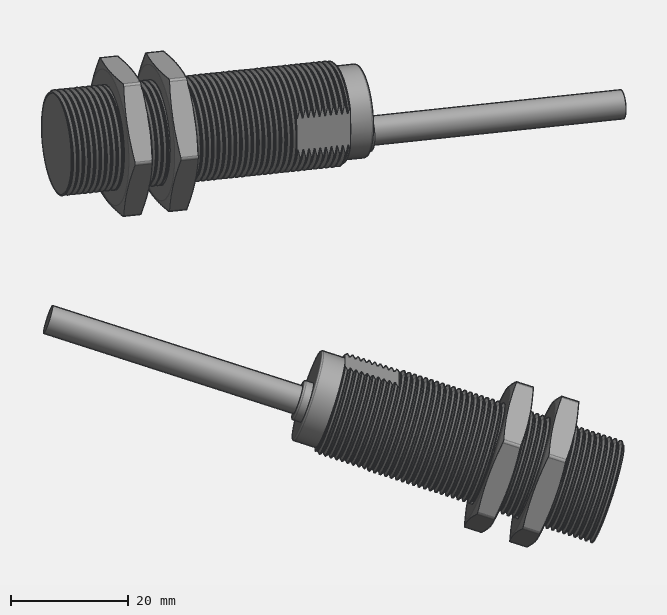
import cadquery as cq
import math

TOTAL_LENGTH = 100.5
BARREL_LENGTH = 49.9
CAP_END = 54.1
COLLAR_END = 55.7

THREAD_RADIUS = 9.0
ROOT_RADIUS = 8.4
BARREL_TURNS = 50
SPARE_TURNS = 2
PITCH = BARREL_LENGTH / BARREL_TURNS
CREST_WIDTH = 0.15
FLOOR_WIDTH = 0.15
THREAD_OFFSET = 0.1
TRIM_RADIUS = THREAD_RADIUS + 0.1
REAR_CHAMFER = 0.6

FLAT_START = 40.2
FLAT_DISTANCE = 7.9

CAP_RADIUS = 8.0
COLLAR_RADIUS = 3.5
EDGE_FILLET = 0.3
CABLE_RADIUS = 2.5
CABLE_Z = -3.8

NUT_WIDTH = 24.0
NUT_THICKNESS = 4.0
NUT_STARTS = (9.4, 17.6)
NUT_CORNER_FILLET = 0.6
NUT_FACE_RADIUS = 11.7
NUT_CHAMFER_DEPTH = 0.5


def rod(radius, start, end, z=0.0):
    """Cylinder parallel to Y between two Y positions."""
    return cq.Workplane("XZ", origin=(0, start, z)).circle(radius).extrude(start - end)


def helix_edge(radius, height):
    """One turn of right-hand helix around Z, starting on +X."""
    turn = cq.Wire.makeHelix(PITCH, PITCH, radius).Edges()[0]
    return turn.translate(cq.Vector(0, 0, height))


def tooth_profile(height):
    """Radius and height of the corners of one tooth, from one groove floor to the next."""
    flank_height = (PITCH - CREST_WIDTH - FLOOR_WIDTH) / 2
    return [
        (ROOT_RADIUS, height),
        (THREAD_RADIUS, height + flank_height),
        (THREAD_RADIUS, height + flank_height + CREST_WIDTH),
        (ROOT_RADIUS, height + PITCH - FLOOR_WIDTH),
        (ROOT_RADIUS, height + PITCH),
    ]


def thread_turn(height):
    """Faces of one full turn of the tooth: flank, crest, flank and groove floor."""
    edges = [helix_edge(radius, z) for radius, z in tooth_profile(height)]
    return [cq.Face.makeRuledSurface(lower, upper) for lower, upper in zip(edges, edges[1:])]


def thread_end(height):
    """Faces that close the threaded rod: a spiral floor and the flat wall across its step."""
    axis = cq.Edge.makeLine(cq.Vector(0, 0, height), cq.Vector(0, 0, height + PITCH))
    floor = cq.Face.makeRuledSurface(axis, helix_edge(ROOT_RADIUS, height))
    outline = [(0, height), *tooth_profile(height), (0, height + PITCH)]
    corners = [cq.Vector(radius, 0, z) for radius, z in outline]
    wall = cq.Face.makeFromWires(cq.Wire.makePolygon(corners, close=True))
    return [floor, wall]


def make_threaded_rod():
    """Right-hand threaded rod along Y that runs past both ends of the barrel."""
    turns = BARREL_TURNS + 2 * SPARE_TURNS
    faces = thread_end(0) + thread_end(turns * PITCH)
    for turn in range(turns):
        faces += thread_turn(turn * PITCH)
    solid = cq.Solid.makeSolid(cq.Shell.makeShell(faces))
    threaded_rod = cq.Workplane(obj=solid).rotate((0, 0, 0), (1, 0, 0), -90)
    threaded_rod = threaded_rod.rotate((0, 0, 0), (0, 1, 0), 180)
    return threaded_rod.translate((0, THREAD_OFFSET - SPARE_TURNS * PITCH, 0))


def make_wrench_flats():
    """Two blocks that trim the +X and -X sides of the barrel rear."""
    depth = THREAD_RADIUS
    length = BARREL_LENGTH - FLAT_START
    block = cq.Workplane().box(depth, length, 2 * THREAD_RADIUS)
    offset = FLAT_DISTANCE + depth / 2
    middle = (FLAT_START + BARREL_LENGTH) / 2
    return block.translate((offset, middle, 0)).union(block.translate((-offset, middle, 0)))


def make_sensor():
    """Threaded barrel with its rear cap, collar and cable."""
    trim = rod(TRIM_RADIUS, 0, BARREL_LENGTH).faces(">Y").chamfer(REAR_CHAMFER)
    barrel = make_threaded_rod().intersect(trim).cut(make_wrench_flats())
    cap = rod(CAP_RADIUS, BARREL_LENGTH, CAP_END).faces(">Y").edges().fillet(EDGE_FILLET)
    collar = rod(COLLAR_RADIUS, CAP_END, COLLAR_END, CABLE_Z).faces(">Y").edges().fillet(EDGE_FILLET)
    cable = rod(CABLE_RADIUS, COLLAR_END, TOTAL_LENGTH, CABLE_Z)
    return barrel.union(cap.union(collar).union(cable))


def make_nut(start):
    """Hexagon nut with corners along X, bored to the thread's outer radius."""
    corner_radius = NUT_WIDTH / 2 / math.cos(math.pi / 6)
    hexagon = cq.Workplane("XZ").polygon(6, 2 * corner_radius).extrude(-NUT_THICKNESS)
    hexagon = hexagon.edges("|Y").fillet(NUT_CORNER_FILLET)
    chamfer_envelope = cq.Workplane("XY").polyline([
        (0, 0),
        (NUT_FACE_RADIUS, 0),
        (corner_radius, NUT_CHAMFER_DEPTH),
        (corner_radius, NUT_THICKNESS - NUT_CHAMFER_DEPTH),
        (NUT_FACE_RADIUS, NUT_THICKNESS),
        (0, NUT_THICKNESS),
    ]).close().revolve(360, (0, 0, 0), (0, 1, 0))
    nut = hexagon.intersect(chamfer_envelope).cut(rod(THREAD_RADIUS, 0, NUT_THICKNESS))
    return nut.translate((0, start, 0))


sensor = make_sensor()
nuts = [make_nut(start) for start in NUT_STARTS]

result = cq.Compound.makeCompound([sensor.val(), *[nut.val() for nut in nuts]])